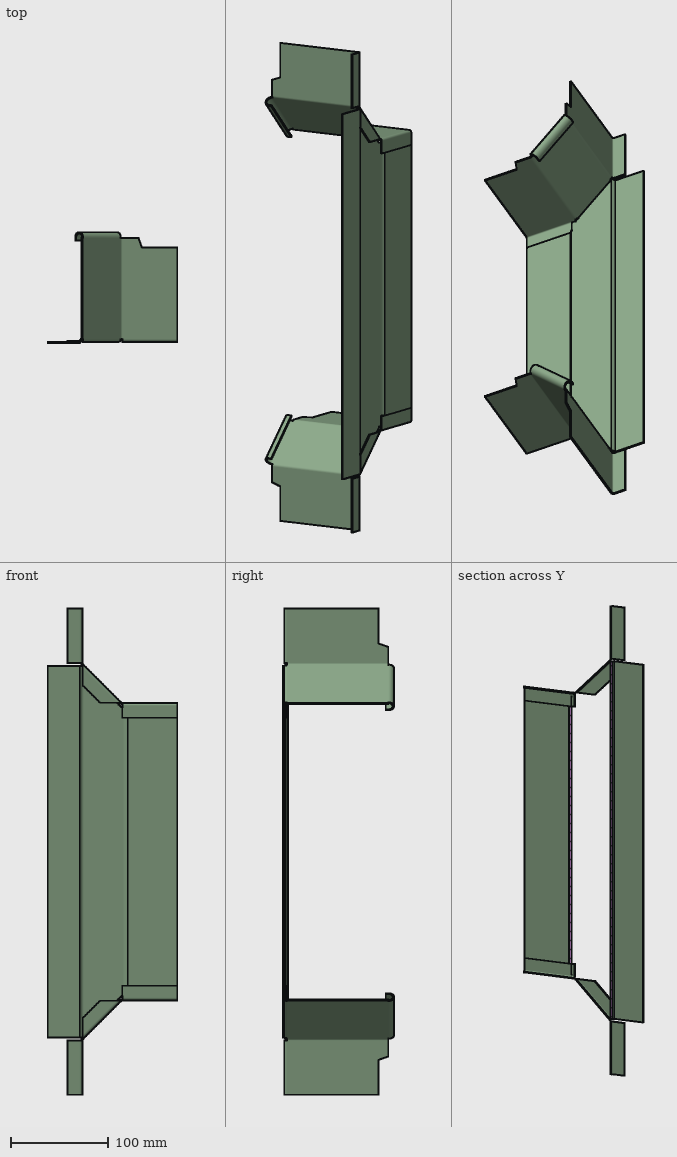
import cadquery as cq
import math

HEIGHT = 500.0
MID_Z = HEIGHT / 2
LENGTH = 133.5
SHEET = 1.5

UPRIGHT_X = 36.0
LEVEL_Z = 403.0
WEB_RUN = 40.0
UPRIGHT_END = (UPRIGHT_X, HEIGHT)
UPPER_CORNER = (UPRIGHT_X, LEVEL_Z + WEB_RUN)
LOWER_CORNER = (UPRIGHT_X + WEB_RUN, LEVEL_Z)
LEVEL_END = (LENGTH, LEVEL_Z)

FOLD_HALF_TAN = math.tan(math.radians(45 / 2))
FOLD_RADIUS = 2.0
FOLD_SETBACK = FOLD_RADIUS * FOLD_HALF_TAN

FLANGE_Y = 1.25
FLANGE_WIDTH = 15.5
BEND_RADIUS = 3.0
PLATE_FRONT_Y = FLANGE_Y + BEND_RADIUS

LEG_BACK_Y = 108.5
LEG_STEP_Y = 98.5
STEP_START = 17.5
STEP_RUN = 3.5

HOOK_INNER_RADIUS = 4.35
HOOK_RADIUS = HOOK_INNER_RADIUS + SHEET
HOOK_LIP = 3.0

STRIP_HALF_HEIGHT = 191.0
JOGGLE = 4.0
JOGGLE_START = 33.0
JOGGLE_ANGLE = 57
JOGGLE_RADIUS = 3.0
RISE = JOGGLE - FLANGE_Y
RISE_END = 82.5
RISE_ANGLE = 50
RISE_RADIUS = 5.5
RISE_START = RISE_END - RISE / math.tan(math.radians(RISE_ANGLE))
MIDDLE_MARGIN = 4.5


def segment_plane(start, end):
    """Plane at the start of a segment: local x inward, local y along +Y, normal along the segment."""
    dx, dz = end[0] - start[0], end[1] - start[1]
    return cq.Plane(origin=(start[0], 0, start[1]), xDir=(dz, 0, -dx), normal=(dx, 0, dz))


def round_edge(body, point, radius):
    """Fillet the one straight edge whose centre is nearest to the given point."""
    return body.edges(cq.selectors.NearestToPointSelector(point)).fillet(radius)


def folded_plate():
    """The folded strip behind the flange bends, extruded along Y."""
    mitre = SHEET * FOLD_HALF_TAN
    inner_lower = (LOWER_CORNER[0] - mitre, LEVEL_Z - SHEET)
    inner_upper = (UPRIGHT_X - SHEET, UPPER_CORNER[1] - mitre)
    outline = [
        UPRIGHT_END,
        UPPER_CORNER,
        LOWER_CORNER,
        LEVEL_END,
        (LENGTH, LEVEL_Z - SHEET),
        inner_lower,
        inner_upper,
        (UPRIGHT_X - SHEET, HEIGHT),
    ]
    plate = (
        cq.Workplane("XZ", origin=(0, PLATE_FRONT_Y, 0))
        .polyline(outline)
        .close()
        .extrude(PLATE_FRONT_Y - LEG_BACK_Y)
    )
    middle_y = (PLATE_FRONT_Y + LEG_BACK_Y) / 2
    for x, z in (UPPER_CORNER, LOWER_CORNER):
        plate = round_edge(plate, (x, middle_y, z), FOLD_RADIUS)
    for x, z in (inner_upper, inner_lower):
        plate = round_edge(plate, (x, middle_y, z), FOLD_RADIUS + SHEET)
    return plate


def flange(start, end, start_setback, end_setback):
    """Front flange of one segment with its bend, kept clear of the folds."""
    length = math.dist(start, end) - start_setback - end_setback
    return (
        cq.Workplane(segment_plane(start, end))
        .workplane(offset=start_setback)
        .moveTo(0, PLATE_FRONT_Y)
        .radiusArc((BEND_RADIUS, FLANGE_Y), -BEND_RADIUS)
        .lineTo(FLANGE_WIDTH, FLANGE_Y)
        .lineTo(FLANGE_WIDTH, FLANGE_Y + SHEET)
        .lineTo(BEND_RADIUS, FLANGE_Y + SHEET)
        .radiusArc((SHEET, PLATE_FRONT_Y), BEND_RADIUS - SHEET)
        .close()
        .extrude(length)
    )


def web_flange():
    """Flange of the web, trimmed along the lines of the two legs."""
    limit = (
        cq.Workplane("XY")
        .box(WEB_RUN, PLATE_FRONT_Y, WEB_RUN, centered=False)
        .translate((UPRIGHT_X, 0, LEVEL_Z))
    )
    return flange(UPPER_CORNER, LOWER_CORNER, FOLD_SETBACK, FOLD_SETBACK).intersect(limit)


def web_hook():
    """Half round curl along the rear edge of the web, ending in a straight lip."""
    lip_y = LEG_BACK_Y - HOOK_LIP
    crown_y = LEG_BACK_Y + HOOK_RADIUS
    width = 2 * HOOK_RADIUS
    return (
        cq.Workplane(segment_plane(UPPER_CORNER, LOWER_CORNER))
        .workplane(offset=FOLD_SETBACK)
        .moveTo(0, LEG_BACK_Y)
        .threePointArc((HOOK_RADIUS, crown_y), (width, LEG_BACK_Y))
        .lineTo(width, lip_y)
        .lineTo(width - SHEET, lip_y)
        .lineTo(width - SHEET, LEG_BACK_Y)
        .threePointArc((HOOK_RADIUS, crown_y - SHEET), (SHEET, LEG_BACK_Y))
        .close()
        .extrude(math.dist(UPPER_CORNER, LOWER_CORNER) - 2 * FOLD_SETBACK)
    )


def step_cutter(corner, end):
    """Removes the rear of a leg beyond its step; the local x axis runs backwards along the leg."""
    length = math.dist(corner, end)
    return (
        cq.Workplane(segment_plane(corner, end))
        .transformed(rotate=(0, 90, 0))
        .moveTo(-STEP_START, LEG_BACK_Y)
        .lineTo(-STEP_START - STEP_RUN, LEG_STEP_Y)
        .lineTo(-length, LEG_STEP_Y)
        .lineTo(-length, LEG_BACK_Y)
        .close()
        .extrude(SHEET, both=True)
    )


def upper_bracket():
    return (
        folded_plate()
        .cut(step_cutter(UPPER_CORNER, UPRIGHT_END))
        .cut(step_cutter(LOWER_CORNER, LEVEL_END))
        .union(flange(UPRIGHT_END, UPPER_CORNER, 0, FOLD_SETBACK))
        .union(web_flange())
        .union(flange(LOWER_CORNER, LEVEL_END, FOLD_SETBACK, 0))
        .union(web_hook())
    )


def panel_sheet():
    """The panel's bent cross-section, extruded over the full height."""
    joggle_end = JOGGLE_START + JOGGLE / math.tan(math.radians(JOGGLE_ANGLE))
    joggle_shift = SHEET * math.tan(math.radians(JOGGLE_ANGLE / 2))
    rise_shift = SHEET * math.tan(math.radians(RISE_ANGLE / 2))
    sheet = (
        cq.Workplane("XY")
        .moveTo(0, 0)
        .lineTo(JOGGLE_START, 0)
        .lineTo(joggle_end, JOGGLE)
        .lineTo(RISE_START, JOGGLE)
        .lineTo(RISE_END, FLANGE_Y)
        .lineTo(LENGTH, FLANGE_Y)
        .lineTo(LENGTH, FLANGE_Y + SHEET)
        .lineTo(RISE_END + rise_shift, FLANGE_Y + SHEET)
        .lineTo(RISE_START + rise_shift, JOGGLE + SHEET)
        .lineTo(joggle_end - joggle_shift, JOGGLE + SHEET)
        .lineTo(JOGGLE_START - joggle_shift, SHEET)
        .lineTo(0, SHEET)
        .close()
        .extrude(HEIGHT)
    )
    sheet = round_edge(sheet, (joggle_end, JOGGLE, MID_Z), JOGGLE_RADIUS)
    return round_edge(sheet, (RISE_START, JOGGLE, MID_Z), RISE_RADIUS)


def panel():
    end_z = LEVEL_Z - FLANGE_WIDTH
    upper_edge = [
        (0, MID_Z + STRIP_HALF_HEIGHT),
        (UPRIGHT_X, MID_Z + STRIP_HALF_HEIGHT),
        (UPRIGHT_X, UPPER_CORNER[1] - MIDDLE_MARGIN),
        (LOWER_CORNER[0], LEVEL_Z - MIDDLE_MARGIN),
        (RISE_START, LEVEL_Z - MIDDLE_MARGIN),
        (RISE_START, end_z),
        (LENGTH, end_z),
    ]
    lower_edge = [(x, HEIGHT - z) for x, z in reversed(upper_edge)]
    outline = cq.Workplane("XZ").polyline(upper_edge + lower_edge).close().extrude(-LEG_BACK_Y)
    return panel_sheet().intersect(outline)


brackets = [upper_bracket()]
brackets.append(brackets[0].mirror("XY", (0, 0, MID_Z)))
result = cq.Compound.makeCompound([panel().val(), *[bracket.val() for bracket in brackets]])